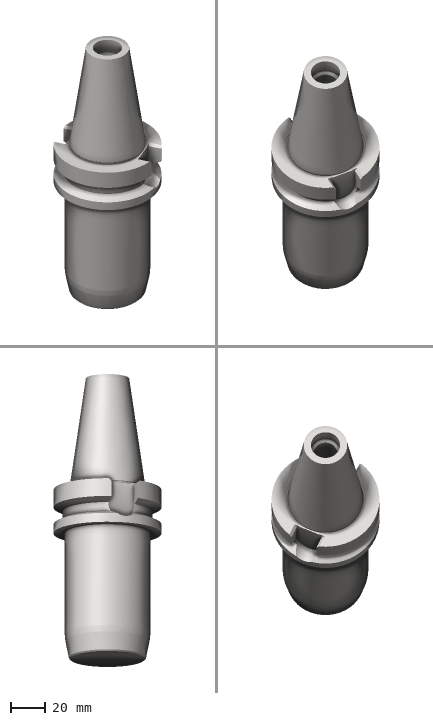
import math

import cadquery as cq


gauge_dia = 44.45
taper_length = 65.4
taper_rate = 7 / 24
taper_tip_dia = gauge_dia - taper_rate * taper_length

neck_dia = 43.85
flange_dia = 63.0
flange_top_z = -1.0
flange_bottom_z = -27.0
recess_dia = 47.0
recess_depth = 0.5

groove_center_z = -16.6
groove_mouth_width = 10.1
groove_floor_dia = 52.4
groove_floor_width = 5.1

slot_width = 16.1
slot_floor_x = 22.6
slot_corner_radius = 8.0
slot_bottom_z = -23.15
slot_chamfer = 1.5

body_dia = 50.0
nose_end_z = -102.0
nose_end_dia = 45.1
nose_chamfer = 0.8
nose_blend_start_z = -87.2
nose_blend_end_z = -91.1
nose_blend_end_dia = 49.2

pilot_dia = 17.01
pilot_depth = 7.4
relief_dia = 17.41
relief_end_depth = 9.0
drill_dia = 14.0
drill_depth = 30.0
seat_angle = 30.0
drill_tip_half_angle = 59.0


def turned_body():
    """Revolve the outer profile: taper, neck, grooved flange, body and nose."""
    flange_r = flange_dia / 2
    floor_r = groove_floor_dia / 2
    neck_r = neck_dia / 2
    mouth_half = groove_mouth_width / 2
    floor_half = groove_floor_width / 2
    neck_step = (gauge_dia - neck_dia) / 2

    blend_start = (body_dia / 2, nose_blend_start_z)
    blend_end = (nose_blend_end_dia / 2, nose_blend_end_z)

    profile = (
        cq.Workplane("XZ")
        .moveTo(0, taper_length)
        .lineTo(taper_tip_dia / 2, taper_length)
        .lineTo(gauge_dia / 2, 0)
        .lineTo(neck_r, -neck_step)
        .lineTo(neck_r, flange_top_z - recess_depth)
        .lineTo(recess_dia / 2, flange_top_z - recess_depth)
        .lineTo(recess_dia / 2, flange_top_z)
        .lineTo(flange_r, flange_top_z)
        .lineTo(flange_r, groove_center_z + mouth_half)
        .lineTo(floor_r, groove_center_z + floor_half)
        .lineTo(floor_r, groove_center_z - floor_half)
        .lineTo(flange_r, groove_center_z - mouth_half)
        .lineTo(flange_r, flange_bottom_z)
        .lineTo(body_dia / 2, flange_bottom_z)
        .lineTo(*blend_start)
        .tangentArcPoint(blend_end, relative=False)
        .lineTo(nose_end_dia / 2, nose_end_z + nose_chamfer)
        .lineTo(nose_end_dia / 2 - nose_chamfer, nose_end_z)
        .lineTo(0, nose_end_z)
        .close()
    )
    return profile.revolve(360, (0, 0, 0), (0, 1, 0))


def drive_slot(side):
    """Slot with large bottom corner rounds and a chamfered mouth, on the +X (1) or -X (-1) side."""
    half = slot_width / 2
    flat_half = half - slot_corner_radius
    corner_top_z = slot_bottom_z + slot_corner_radius
    mouth_half = half + slot_chamfer
    length = flange_dia / 2 - slot_floor_x
    outline = (
        cq.Workplane("YZ", origin=(side * slot_floor_x, 0, 0))
        .moveTo(-mouth_half, flange_top_z)
        .lineTo(-half, flange_top_z - slot_chamfer)
        .lineTo(-half, corner_top_z)
        .radiusArc((-flat_half, slot_bottom_z), -slot_corner_radius)
        .lineTo(flat_half, slot_bottom_z)
        .radiusArc((half, corner_top_z), -slot_corner_radius)
        .lineTo(half, flange_top_z - slot_chamfer)
        .lineTo(mouth_half, flange_top_z)
        .close()
    )
    return outline.extrude(side * length)


def pull_stud_bore():
    """Pilot bore, undercut relief, conical seat and drilled hole with a pointed bottom."""
    pilot_r = pilot_dia / 2
    drill_r = drill_dia / 2
    relief_r = relief_dia / 2
    relief_z = taper_length - pilot_depth
    seat_z = taper_length - relief_end_depth
    seat_drop = (relief_r - drill_r) * math.tan(math.radians(seat_angle))
    drill_z = taper_length - drill_depth
    tip_drop = drill_r / math.tan(math.radians(drill_tip_half_angle))
    profile = (
        cq.Workplane("XZ")
        .moveTo(0, taper_length)
        .lineTo(pilot_r, taper_length)
        .lineTo(pilot_r, relief_z)
        .lineTo(relief_r, relief_z)
        .lineTo(relief_r, seat_z)
        .lineTo(drill_r, seat_z - seat_drop)
        .lineTo(drill_r, drill_z)
        .lineTo(0, drill_z - tip_drop)
        .close()
    )
    return profile.revolve(360, (0, 0, 0), (0, 1, 0))


result = turned_body().cut(pull_stud_bore())
for slot_side in (1, -1):
    result = result.cut(drive_slot(slot_side))